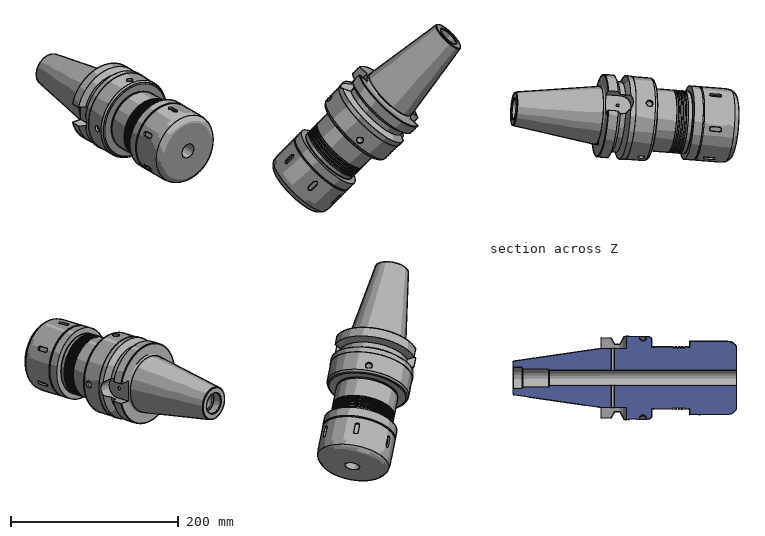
import cadquery as cq
import math

LENGTH = 266.8

CUT_CLEARANCE = 2.7

TAPER_END = 102.0
TAPER_LARGE_DIA = 70.0
TAPER_RATIO = 7 / 24
TAPER_CHAMFER = 0.8
NECK_DIA = 69.0
NECK_FILLET = 2.0

FLANGE_START = 104.9
FLANGE_DIA = 99.0
FLANGE_CHAMFER = 0.8
GROOVE_ANGLE = 60.0
GROOVE_FLOOR_START = 121.5
GROOVE_FLOOR_END = 127.8
GROOVE_FLOOR_DIA = 84.3
RIM_DIA = 100.0
RIM_END = 138.7
BODY_DIA = 99.0
BODY_CHAMFER_START = 162.2
BODY_EDGE_START = 165.0
BODY_EDGE_DIA = 96.0
BODY_END = 165.7
BODY_FACE_DIA = 92.8

SLEEVE_NECK_DIA = 73.6
SLEEVE_DIA = 74.7
SLEEVE_START = 167.5
SLEEVE_END = 210.0
RING_DIA = 72.3
RING_WIDTH = 2.1
RING_PITCH = 4.0
RING_FIRST_START = 191.0
RING_COUNT = 4

NUT_START = 210.8
NUT_DIA = 88.0
NUT_BAND_START = 221.7
NUT_BAND_WIDTH = 1.5
NUT_BAND_DEPTH = 0.3
NUT_LEAD_START = 254.8
NUT_LEAD_END = 260.5
NUT_LEAD_DIA = 86.5
NUT_CHAMFER_MID = 262.8
NUT_CHAMFER_MID_DIA = 83.5
NUT_CHAMFER_END = 265.2
NUT_CHAMFER_DIA = 79.2
NUT_NOSE_MID = 266.3
NUT_NOSE_MID_DIA = 76.0
NUT_FACE_DIA = 71.5

SLOT_COUNT = 6
SLOT_CENTER = 238.0
SLOT_LENGTH = 14.5
SLOT_WIDTH = 5.3
SLOT_DEPTH = 2.7

KEYWAY_WIDTH = 25.0
KEYWAY_END = 135.3
KEYWAY_FLOOR_RADIUS = 35.2

COOLANT_HOLE_DIA = 3.5
COOLANT_HOLE_X = 119.3

BODY_HOLE_COUNT = 4
BODY_HOLE_DIA = 8.0
BODY_HOLE_X = 155.3
BODY_HOLE_DEPTH = 3.2
DRILL_POINT_ANGLE = 118.0

ENTRY_DIA = 26.7
ENTRY_CHAMFER = 0.8
PILOT_DIA = 25.0
PILOT_END = 11.0
THREAD_DIA = 24.0
THREAD_CHAMFER = 1.3
DRILL_DIA = 21.3
DRILL_END = 42.7
THROUGH_DIA = 18.0
THROUGH_CHAMFER = 1.3


def turned_body():
    """Revolve the outer profile of the holder and nut about the X axis."""
    taper_small_radius = TAPER_LARGE_DIA / 2 - TAPER_END * TAPER_RATIO / 2
    taper_chamfer_radius = taper_small_radius + TAPER_CHAMFER * TAPER_RATIO / 2
    neck_radius = NECK_DIA / 2
    flange_radius = FLANGE_DIA / 2
    floor_radius = GROOVE_FLOOR_DIA / 2
    rim_radius = RIM_DIA / 2
    body_radius = BODY_DIA / 2
    wall_slope = math.tan(math.radians(GROOVE_ANGLE))
    flange_end = GROOVE_FLOOR_START - (flange_radius - floor_radius) / wall_slope
    rim_start = GROOVE_FLOOR_END + (rim_radius - floor_radius) / wall_slope
    neck_inset = NECK_FILLET * (1 - math.sqrt(0.5))

    profile = (
        cq.Workplane("XY")
        .moveTo(0, 0)
        .lineTo(0, taper_small_radius - TAPER_CHAMFER)
        .lineTo(TAPER_CHAMFER, taper_chamfer_radius)
        .lineTo(TAPER_END, TAPER_LARGE_DIA / 2)
        .lineTo(TAPER_END + (TAPER_LARGE_DIA - NECK_DIA) / 2, neck_radius)
        .lineTo(FLANGE_START - NECK_FILLET, neck_radius)
        .threePointArc(
            (FLANGE_START - neck_inset, neck_radius + neck_inset),
            (FLANGE_START, neck_radius + NECK_FILLET),
        )
        .lineTo(FLANGE_START, flange_radius - FLANGE_CHAMFER)
        .lineTo(FLANGE_START + FLANGE_CHAMFER, flange_radius)
        .lineTo(flange_end, flange_radius)
        .lineTo(GROOVE_FLOOR_START, floor_radius)
        .lineTo(GROOVE_FLOOR_END, floor_radius)
        .lineTo(rim_start, rim_radius)
        .lineTo(RIM_END, rim_radius)
        .lineTo(RIM_END, body_radius)
        .lineTo(BODY_CHAMFER_START, body_radius)
        .lineTo(BODY_EDGE_START, BODY_EDGE_DIA / 2)
        .lineTo(BODY_END, BODY_FACE_DIA / 2)
        .lineTo(BODY_END, SLEEVE_NECK_DIA / 2)
        .lineTo(SLEEVE_START, SLEEVE_NECK_DIA / 2)
        .lineTo(SLEEVE_START, SLEEVE_DIA / 2)
        .lineTo(SLEEVE_END, SLEEVE_DIA / 2)
        .lineTo(SLEEVE_END, SLEEVE_NECK_DIA / 2)
        .lineTo(NUT_START, SLEEVE_NECK_DIA / 2)
        .lineTo(NUT_START, NUT_DIA / 2)
        .lineTo(NUT_LEAD_START, NUT_DIA / 2)
        .lineTo(NUT_LEAD_END, NUT_LEAD_DIA / 2)
        .lineTo(NUT_CHAMFER_MID, NUT_CHAMFER_MID_DIA / 2)
        .lineTo(NUT_CHAMFER_END, NUT_CHAMFER_DIA / 2)
        .threePointArc((NUT_NOSE_MID, NUT_NOSE_MID_DIA / 2), (LENGTH, NUT_FACE_DIA / 2))
        .lineTo(LENGTH, 0)
        .close()
    )
    return profile.revolve(360, (0, 0, 0), (1, 0, 0))


def axial_cylinder(start, length, diameter):
    """Cylinder along X that starts at the given X position."""
    return cq.Workplane("YZ", origin=(start, 0, 0)).circle(diameter / 2).extrude(length)


def ring_cutter(start, width, floor_dia, outer_dia):
    """Annular cutter for a square groove around the X axis."""
    outer = axial_cylinder(start, width, outer_dia + CUT_CLEARANCE)
    return outer.cut(axial_cylinder(start, width, floor_dia))


def cut_turned_grooves(part):
    for index in range(RING_COUNT):
        start = RING_FIRST_START + index * RING_PITCH
        part = part.cut(ring_cutter(start, RING_WIDTH, RING_DIA, SLEEVE_DIA))
    band_floor_dia = NUT_DIA - 2 * NUT_BAND_DEPTH
    return part.cut(ring_cutter(NUT_BAND_START, NUT_BAND_WIDTH, band_floor_dia, NUT_DIA))


def cut_bore(part):
    """Chamfered pilot bore, drilled pull-stud bore and a smaller through bore."""
    bore = (
        cq.Workplane("XY")
        .moveTo(0, 0)
        .lineTo(0, ENTRY_DIA / 2)
        .lineTo(ENTRY_CHAMFER, PILOT_DIA / 2)
        .lineTo(PILOT_END, PILOT_DIA / 2)
        .lineTo(PILOT_END, THREAD_DIA / 2)
        .lineTo(PILOT_END + THREAD_CHAMFER, DRILL_DIA / 2)
        .lineTo(DRILL_END, DRILL_DIA / 2)
        .lineTo(DRILL_END + THROUGH_CHAMFER, THROUGH_DIA / 2)
        .lineTo(LENGTH, THROUGH_DIA / 2)
        .lineTo(LENGTH, 0)
        .close()
        .revolve(360, (0, 0, 0), (1, 0, 0))
    )
    return part.cut(bore)


def cut_keyways(part):
    """Slots open toward the taper, with a round closed end and a flat floor."""
    arc_center = KEYWAY_END - KEYWAY_WIDTH / 2
    height = RIM_DIA / 2 - KEYWAY_FLOOR_RADIUS + CUT_CLEARANCE
    floor = cq.Workplane("XZ", origin=(0, -KEYWAY_FLOOR_RADIUS, 0))
    straight_length = arc_center - TAPER_END
    straight = floor.center(arc_center - straight_length / 2, 0).rect(straight_length, KEYWAY_WIDTH)
    cutter = straight.extrude(height)
    cutter = cutter.union(floor.center(arc_center, 0).circle(KEYWAY_WIDTH / 2).extrude(height))
    return part.cut(cutter).cut(cutter.mirror("XZ"))


def cut_coolant_hole(part):
    """Straight hole along Y through the whole part."""
    workplane = cq.Workplane("XZ", origin=(COOLANT_HOLE_X, 0, 0))
    return part.cut(workplane.circle(COOLANT_HOLE_DIA / 2).extrude(RIM_DIA, both=True))


def cut_body_holes(part):
    """Radial blind holes with a conical drill point."""
    radius = BODY_HOLE_DIA / 2
    top = BODY_DIA / 2 + CUT_CLEARANCE
    shoulder = BODY_DIA / 2 - BODY_HOLE_DEPTH
    tip = shoulder - radius / math.tan(math.radians(DRILL_POINT_ANGLE / 2))
    drill = (
        cq.Workplane("XZ", origin=(BODY_HOLE_X, 0, 0))
        .polyline([(0, tip), (radius, shoulder), (radius, top), (0, top)])
        .close()
        .revolve(360, (0, 0, 0), (0, 1, 0))
    )
    for index in range(BODY_HOLE_COUNT):
        part = part.cut(drill.rotate((0, 0, 0), (1, 0, 0), index * 360 / BODY_HOLE_COUNT))
    return part


def cut_nut_slots(part):
    floor = NUT_DIA / 2 - SLOT_DEPTH
    cutter = (
        cq.Workplane("XY", origin=(SLOT_CENTER, 0, floor))
        .slot2D(SLOT_LENGTH, SLOT_WIDTH)
        .extrude(2 * SLOT_DEPTH)
    )
    for index in range(SLOT_COUNT):
        part = part.cut(cutter.rotate((0, 0, 0), (1, 0, 0), index * 360 / SLOT_COUNT))
    return part


result = turned_body()
result = cut_turned_grooves(result)
result = cut_bore(result)
result = cut_keyways(result)
result = cut_coolant_hole(result)
result = cut_body_holes(result)
result = cut_nut_slots(result)